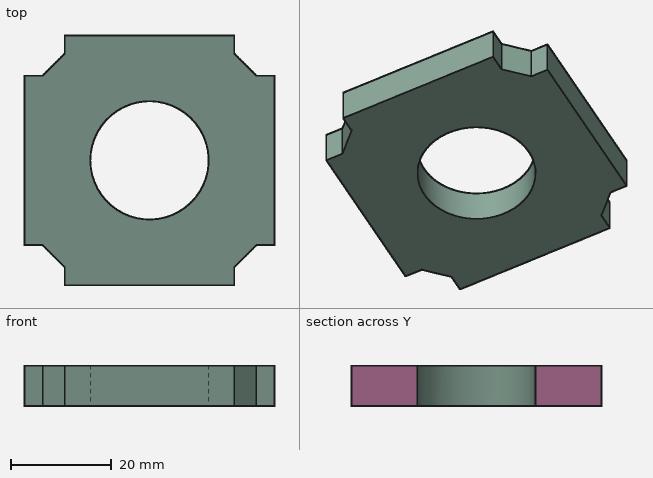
import cadquery as cq

side = 49.8
thickness = 8.0
bore_diameter = 23.5
notch_size = 8.0
notch_wall = 3.65


def corner_notch():
    """Cutter for the +X +Y corner: a square with its inner corner cut diagonally."""
    outer = side / 2
    inner = outer - notch_size
    diagonal_end = outer - notch_wall
    return (
        cq.Workplane("XY")
        .moveTo(outer, outer)
        .lineTo(inner, outer)
        .lineTo(inner, diagonal_end)
        .lineTo(diagonal_end, inner)
        .lineTo(outer, inner)
        .close()
        .extrude(thickness)
    )


result = (
    cq.Workplane("XY")
    .rect(side, side)
    .extrude(thickness)
    .faces(">Z")
    .workplane()
    .hole(bore_diameter)
)

for angle in (0, 90, 180, 270):
    result = result.cut(corner_notch().rotate((0, 0, 0), (0, 0, 1), angle))